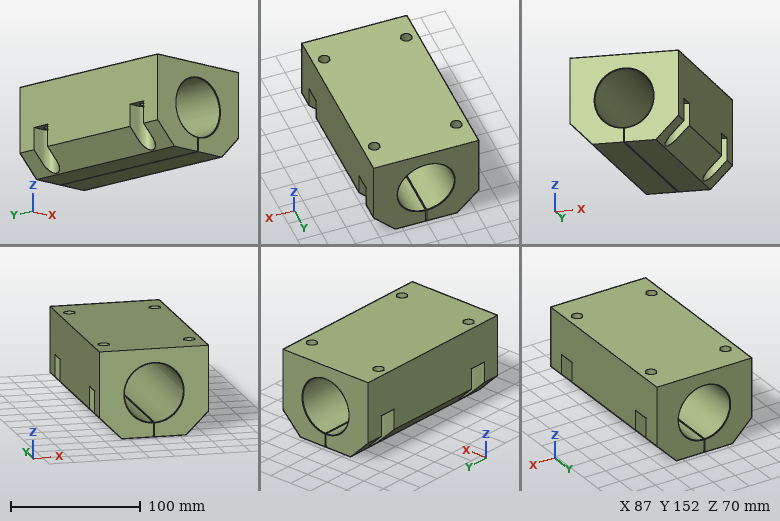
import cadquery as cq

length = 152.0
width = 87.0
height = 70.0
bottom_chamfer = 18.0

bore_diameter = 47.0
bore_height = height / 2
bore_edge_chamfer = 0.5
slit_width = 1.0

hole_diameter = 8.7
hole_spacing_x = 68.0
hole_spacing_y = 105.8
pocket_width = 15.0
pocket_top = 35.5


def make_block():
    """Rectangular block with both long bottom edges chamfered."""
    block = cq.Workplane("XY").box(width, length, height, centered=(True, True, False))
    return block.faces("<Z").edges("|Y").chamfer(bottom_chamfer)


def make_bore():
    """Through bore that flares at 45 degrees at both ends."""
    radius = bore_diameter / 2
    mouth_radius = radius + bore_edge_chamfer
    half_length = length / 2
    flare_start = half_length - bore_edge_chamfer
    profile = [
        (0, -half_length),
        (mouth_radius, -half_length),
        (radius, -flare_start),
        (radius, flare_start),
        (mouth_radius, half_length),
        (0, half_length),
    ]
    bore = cq.Workplane("XY").polyline(profile).close().revolve(360, (0, 0), (0, 1))
    return bore.translate((0, 0, bore_height))


def make_slit():
    """Thin gap from the bore axis to the bottom face, along the whole length."""
    return cq.Workplane("XY").box(slit_width, length, bore_height, centered=(True, True, False))


def make_mounting_cut(side, y):
    """Through hole and round-ended pocket; side is -1 or +1 along X."""
    x = side * hole_spacing_x / 2
    edge_distance = (width - hole_spacing_x) / 2
    base = cq.Workplane("XY").center(x, y)
    hole = base.circle(hole_diameter / 2).extrude(height)
    round_end = base.circle(pocket_width / 2).extrude(pocket_top)
    opening = (
        base.center(side * edge_distance / 2, 0)
        .rect(edge_distance, pocket_width)
        .extrude(pocket_top)
    )
    return hole.union(round_end).union(opening)


result = make_block().cut(make_bore()).cut(make_slit())
for side in (-1, 1):
    for y in (-hole_spacing_y / 2, hole_spacing_y / 2):
        result = result.cut(make_mounting_cut(side, y))